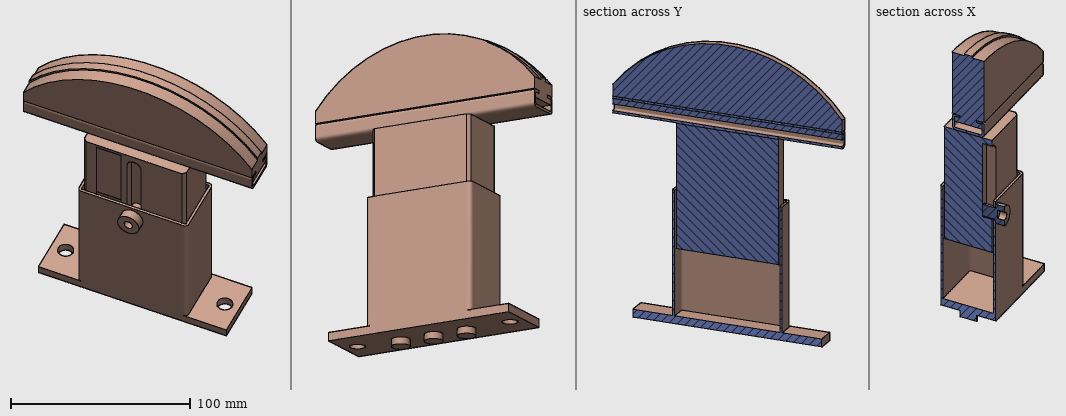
import cadquery as cq
import math


tube_length = 67.1
tube_depth = 35.0
tube_height = 75.1
tube_wall = 1.6
tube_corner_radius = 2.3
foot_length = 115.2
foot_thickness = 5.0
foot_hole_diameter = 8.8
foot_hole_edge_distance = 8.8
stud_diameter = 10.6
stud_height = 4.0
stud_pitch = 21.0
stud_count = 3
foot_top = stud_height + foot_thickness
tube_top = foot_top + tube_height
tube_front = -tube_depth / 2

slider_clearance = 0.7
slider_chamfer = 2.0
slider_exposed_height = 40.1
slider_length = tube_length - 2 * (tube_wall + slider_clearance)
slider_depth = tube_depth - 2 * (tube_wall + slider_clearance)
slider_top = tube_top + slider_exposed_height
slider_travel = slider_exposed_height
slider_bottom = foot_top + slider_travel
slider_front = -slider_depth / 2

slot_width = 8.5
slot_depth = 6.0
window_width = 15.0
window_center_x = -15.5
window_top_margin = 2.0
window_split_above_tube = 1.0
window_top = slider_top - window_top_margin
window_split = tube_top + window_split_above_tube
upper_window_depth = 0.09
lower_window_depth = 0.2

screw_head_diameter = 13.0
screw_head_height = 5.5
screw_shank_diameter = 8.0
screw_socket_diameter = 5.1
screw_socket_depth = 4.5
screw_below_tube_top = 8.3
screw_z = tube_top - screw_below_tube_top

rail_length = 140.0
rail_width = 20.5
rail_height = 10.2
rail_wall = 1.6
rail_corner_radius = 2.3
rail_mouth_width = 10.0
rail_top = slider_top + rail_height

overall_height = 176.7
arch_radius = 89.8
rib_width = 5.0
rib_height = 1.0
shoe_foot_thickness = 3.4


def front_cylinder(diameter, z, y_front, y_back):
    """Cylinder along Y, on the X centre line, between two Y planes."""
    plane = cq.Workplane("XZ", origin=(0, y_front, z))
    return plane.circle(diameter / 2).extrude(y_front - y_back)


def make_housing():
    foot = (
        cq.Workplane("XY")
        .workplane(offset=stud_height)
        .rect(foot_length, tube_depth)
        .extrude(foot_thickness)
    )
    hole_spacing = foot_length - 2 * foot_hole_edge_distance
    foot = foot.faces(">Z").workplane().rarray(hole_spacing, 1.8, 2, 1).hole(foot_hole_diameter)

    tube = (
        cq.Workplane("XY")
        .workplane(offset=foot_top)
        .rect(tube_length, tube_depth)
        .extrude(tube_height)
        .edges("|Z")
        .fillet(tube_corner_radius)
    )
    bore = (
        cq.Workplane("XY")
        .workplane(offset=foot_top)
        .rect(tube_length - 2 * tube_wall, tube_depth - 2 * tube_wall)
        .extrude(tube_height)
        .edges("|Z")
        .fillet(tube_corner_radius - tube_wall)
    )
    studs = (
        cq.Workplane("XY")
        .rarray(stud_pitch, 1.8, stud_count, 1)
        .circle(stud_diameter / 2)
        .extrude(stud_height)
    )
    screw_hole = front_cylinder(screw_shank_diameter, screw_z, tube_front, tube_front + tube_wall)
    return foot.union(tube.cut(bore)).union(studs).cut(screw_hole)


def window_recess(z_bottom, z_top, depth):
    """Shallow rectangular recess in the slider's front face."""
    return cq.Workplane("XY").box(
        window_width, depth, z_top - z_bottom, centered=(True, False, False)
    ).translate((window_center_x, slider_front, z_bottom))


def make_slider():
    block = (
        cq.Workplane("XY")
        .workplane(offset=slider_bottom)
        .rect(slider_length, slider_depth)
        .extrude(slider_top - slider_bottom)
        .edges("|Z")
        .chamfer(slider_chamfer)
    )
    slot = (
        cq.Workplane("XZ", origin=(0, slider_front, screw_z + slider_travel / 2))
        .slot2D(slider_travel + slot_width, slot_width, angle=90)
        .extrude(-slot_depth)
    )
    upper_window = window_recess(window_split, window_top, upper_window_depth)
    lower_window = window_recess(slider_bottom, window_split, lower_window_depth)
    return block.cut(slot).cut(upper_window).cut(lower_window)


def make_screw():
    head_front = tube_front - screw_head_height
    head = front_cylinder(screw_head_diameter, screw_z, head_front, tube_front)
    shank = front_cylinder(screw_shank_diameter, screw_z, tube_front, slider_front + slot_depth)
    socket = front_cylinder(screw_socket_diameter, screw_z, head_front, head_front + screw_socket_depth)
    return head.union(shank).cut(socket)


def rail_bar(width, z_bottom, z_top):
    """Rectangular bar as long as the rail, centred on the Y axis."""
    return cq.Workplane("XY").box(
        rail_length, width, z_top - z_bottom, centered=(True, True, False)
    ).translate((0, 0, z_bottom))


def make_rail():
    outside = rail_bar(rail_width, slider_top, rail_top).edges("|X").fillet(rail_corner_radius)
    channel = rail_bar(rail_width - 2 * rail_wall, slider_top + rail_wall, rail_top - rail_wall)
    channel = channel.edges("|X").fillet(rail_corner_radius - rail_wall)
    mouth = rail_bar(rail_mouth_width, rail_top - rail_wall, rail_top)
    return outside.cut(channel).cut(mouth)


def arched_plate(width, crown_z, radius):
    """Plate standing on the rail, with a circular arc as its top edge."""
    half_length = rail_length / 2
    end_z = crown_z - radius + math.sqrt(radius**2 - half_length**2)
    return (
        cq.Workplane("XZ", origin=(0, width / 2, 0))
        .moveTo(-half_length, rail_top)
        .lineTo(half_length, rail_top)
        .lineTo(half_length, end_z)
        .threePointArc((0, crown_z), (-half_length, end_z))
        .close()
        .extrude(width)
    )


def make_shoe():
    body = arched_plate(rail_width, overall_height - rib_height, arch_radius - rib_height)
    rib = arched_plate(rib_width, overall_height, arch_radius)
    lip_underside = rail_top - rail_wall
    neck = rail_bar(rail_mouth_width, lip_underside, rail_top)
    foot = rail_bar(rail_width - 2 * rail_wall, lip_underside - shoe_foot_thickness, lip_underside)
    foot = foot.edges("|X and >Z").fillet(rail_corner_radius - rail_wall)
    return body.union(rib).union(neck).union(foot)


housing = make_housing()
slider = make_slider()
screw = make_screw()
rail = make_rail()
shoe = make_shoe()

result = cq.Compound.makeCompound(
    [housing.val(), slider.val(), screw.val(), rail.val(), shoe.val()]
)